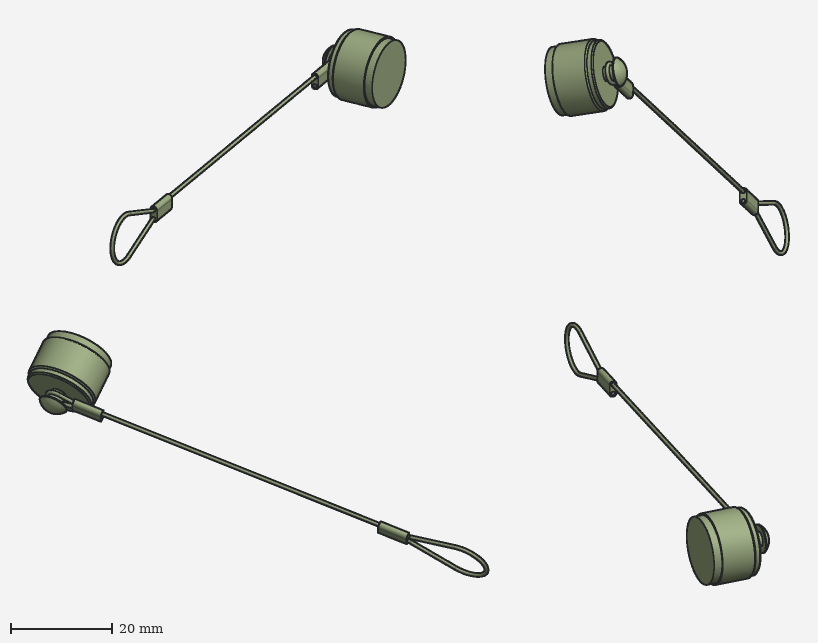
import cadquery as cq
import math


cap_diameter = 14.5
cap_end_diameter = 13.8
cap_length = 10.2
cap_front_chamfer = 0.3
band_start = 1.2
band_end = 8.4
band_chamfer = (cap_diameter - cap_end_diameter) / 2

cable_diameter = 0.8
cable_radius = cable_diameter / 2
cable_x = -1.1
strand_offset = 1.0
overall_length = 100.6
near_lead = 0.2
far_lead = 0.5

shank_radius = 1.5
head_radius = 2.9
head_seat_x = -2.6
head_rim = 0.2
head_tip_x = -4.3

ferrule_length = 6.1
ferrule_width = 1.5
near_ferrule_y = -3.7
far_ferrule_y = -69.8

near_loop_radius = shank_radius + cable_radius
far_loop_radius = 5.0
far_loop_y = cap_diameter / 2 - overall_length + far_loop_radius + cable_radius


def make_cap():
    cap_radius = cap_diameter / 2
    end_radius = cap_end_diameter / 2
    profile = (
        cq.Workplane("XY")
        .polyline([
            (0, 0),
            (0, end_radius - cap_front_chamfer),
            (cap_front_chamfer, end_radius),
            (band_start, end_radius),
            (band_start + band_chamfer, cap_radius),
            (band_end, cap_radius),
            (band_end, end_radius),
            (cap_length, end_radius),
            (cap_length, 0),
        ])
        .close()
    )
    return profile.revolve(360, (0, 0, 0), (1, 0, 0))


def make_rivet():
    dome_base_x = head_seat_x - head_rim
    dome_height = dome_base_x - head_tip_x
    dome_radius = (head_radius**2 + dome_height**2) / (2 * dome_height)
    half_angle = math.asin(head_radius / dome_radius) / 2
    dome_middle = (
        head_tip_x + dome_radius * (1 - math.cos(half_angle)),
        dome_radius * math.sin(half_angle),
    )
    profile = (
        cq.Workplane("XY")
        .moveTo(0, 0)
        .lineTo(0, shank_radius)
        .lineTo(head_seat_x, shank_radius)
        .lineTo(head_seat_x, head_radius)
        .lineTo(dome_base_x, head_radius)
        .threePointArc(dome_middle, (head_tip_x, 0))
        .close()
    )
    return profile.revolve(360, (0, 0, 0), (1, 0, 0))


def loop_tangent(radius, center_distance):
    """Y and Z offsets, along the cable and up, from a loop centre to where its upper leg meets the arc.

    The leg runs to a strand at strand_offset, center_distance away from the loop centre.
    """
    reach = math.hypot(center_distance, strand_offset)
    angle = math.atan2(strand_offset, center_distance) + math.acos(radius / reach)
    return radius * math.cos(angle), radius * math.sin(angle)


def make_cable():
    near_exit_y = near_ferrule_y + near_lead
    far_exit_y = far_ferrule_y - ferrule_length - far_lead
    near_along, near_z = loop_tangent(near_loop_radius, -near_exit_y)
    far_along, far_z = loop_tangent(far_loop_radius, far_exit_y - far_loop_y)
    near_tangent_y = -near_along
    far_tangent_y = far_loop_y + far_along

    path = (
        cq.Workplane("YZ", origin=(cable_x, 0, 0))
        .moveTo(near_ferrule_y - ferrule_length, -strand_offset)
        .lineTo(near_exit_y, -strand_offset)
        .lineTo(near_tangent_y, -near_z)
        .threePointArc((near_loop_radius, 0), (near_tangent_y, near_z))
        .lineTo(near_exit_y, strand_offset)
        .lineTo(far_exit_y, strand_offset)
        .lineTo(far_tangent_y, far_z)
        .threePointArc((far_loop_y - far_loop_radius, 0), (far_tangent_y, -far_z))
        .lineTo(far_exit_y, -strand_offset)
        .lineTo(far_ferrule_y, -strand_offset)
    )
    start = (cable_x, near_ferrule_y - ferrule_length, -strand_offset)
    section = cq.Workplane("XZ", origin=start).circle(cable_radius)
    return section.sweep(path, transition="round")


def make_ferrule(start_y):
    """Oval sleeve that runs from start_y toward -Y, with one hole for each strand."""
    oval_length = 2 * strand_offset + ferrule_width
    return (
        cq.Workplane("XZ", origin=(cable_x, start_y, 0))
        .slot2D(oval_length, ferrule_width, 90)
        .pushPoints([(0, strand_offset), (0, -strand_offset)])
        .circle(cable_radius)
        .extrude(ferrule_length)
    )


cap = make_cap()
rivet = make_rivet()
cable = make_cable()
ferrules = [make_ferrule(start_y) for start_y in (near_ferrule_y, far_ferrule_y)]

result = cq.Compound.makeCompound([
    cap.val(),
    rivet.val(),
    cable.val(),
    *[ferrule.val() for ferrule in ferrules],
])